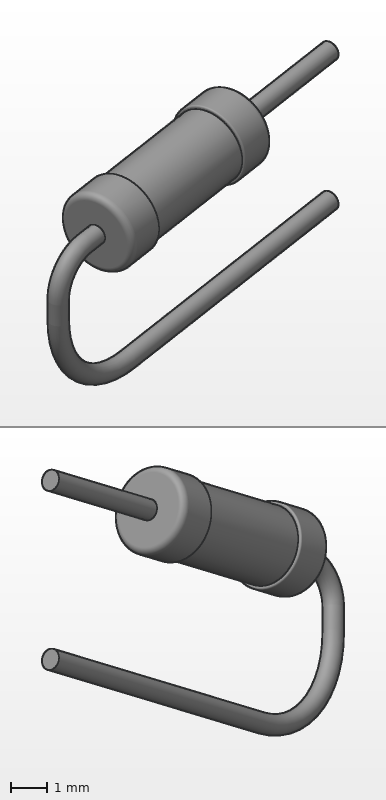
import cadquery as cq

overall_length = 12.85
overall_height = 6.63

body_length = 6.44
sleeve_diameter = 2.3
cap_diameter = 2.5
cap_length = 1.25
cap_outer_fillet = 0.19
cap_inner_fillet = 0.05

lead_diameter = 0.6
front_stub_length = 0.58
upper_bend_radius = 1.18
lower_bend_radius = 3.19

lead_radius = lead_diameter / 2
body_end = body_length / 2
upper_bend_y = -body_end - front_stub_length
drop_y = upper_bend_y - upper_bend_radius
lower_bend_y = drop_y + lower_bend_radius
lead_end_y = drop_y - lead_radius + overall_length
return_z = cap_diameter / 2 + lead_radius - overall_height
drop_bottom_z = return_z + lower_bend_radius


def rod(diameter, y_start, y_end):
    """Cylinder on the body axis between two Y positions."""
    return (
        cq.Workplane("XZ", origin=(0, y_start, 0))
        .circle(diameter / 2)
        .extrude(y_start - y_end)
    )


def front_cap():
    """End cap at the -Y end, more rounded on its outer rim."""
    cap = rod(cap_diameter, -body_end, -body_end + cap_length)
    cap = cap.faces("<Y").edges().fillet(cap_outer_fillet)
    return cap.faces(">Y").edges().fillet(cap_inner_fillet)


def bent_lead():
    """Lead that leaves the -Y cap, drops and returns below the body."""
    diagonal = 0.5 ** 0.5
    upper_bend_middle = (
        upper_bend_y - upper_bend_radius * diagonal,
        -upper_bend_radius + upper_bend_radius * diagonal,
    )
    lower_bend_middle = (
        lower_bend_y - lower_bend_radius * diagonal,
        drop_bottom_z - lower_bend_radius * diagonal,
    )
    path = (
        cq.Workplane("YZ")
        .moveTo(-body_end + cap_length, 0)
        .lineTo(upper_bend_y, 0)
        .threePointArc(upper_bend_middle, (drop_y, -upper_bend_radius))
        .lineTo(drop_y, drop_bottom_z)
        .threePointArc(lower_bend_middle, (lower_bend_y, return_z))
        .lineTo(lead_end_y, return_z)
    )
    profile = cq.Workplane("XZ", origin=(0, -body_end + cap_length, 0)).circle(lead_radius)
    return profile.sweep(path)


sleeve = rod(sleeve_diameter, -body_end + cap_length / 2, body_end - cap_length / 2)
cap = front_cap()
straight_lead = rod(lead_diameter, 0, lead_end_y)

result = (
    sleeve.union(cap)
    .union(cap.mirror("XZ"))
    .union(straight_lead)
    .union(bent_lead())
)